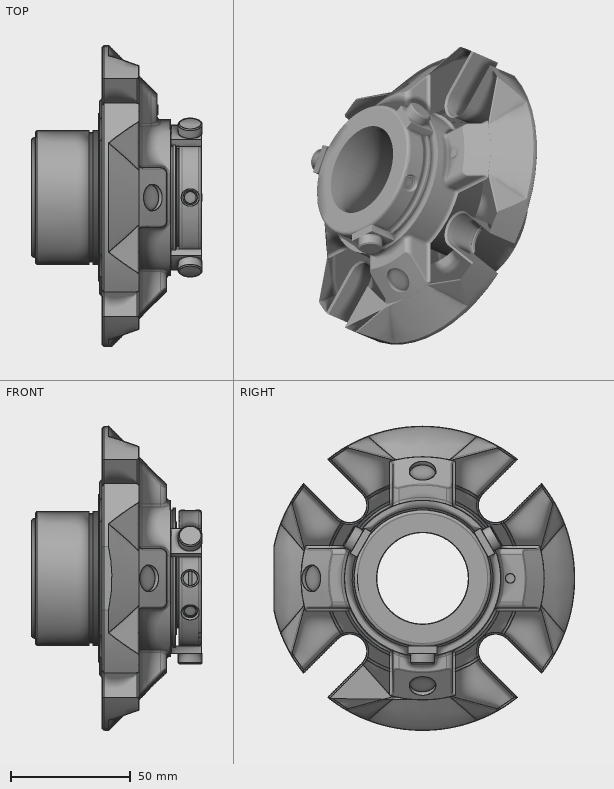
import cadquery as cq
import math


total_length = 71.0
bore_dia = 38.2
sleeve_dia = 41.2
nose_dia = 50.1
nose_length = 1.8
nose_rounding = 1.6
barrel_dia = 55.9
barrel_chamfer = 0.6
groove_dia = 54.0
groove_start = 24.1
groove_end = 25.7

pilot_dia = 69.8
pilot_start = 28.0
gasket_step_dia = 82.4
gasket_step_start = 28.4
gasket_step_chamfer_depth = 1.0
gasket_step_chamfer_width = 1.1

flange_dia = 126.8
flange_start = 29.5
flange_end = 44.9
flange_chamfer = 0.8
rim_end = 32.2
flat_distance = 62.0

slot_width = 14.3
slot_end_distance = 43.0
slot_angles = (45, 135, 225, 315)

lobe_corner_angle = 21.0
lobe_azimuth_tilt = 15.0
lobe_axial_tilt = 27.0
lobe_fillet = 0.6

boss_dia = 65.0
boss_end = 57.9
foot_fillet = 1.3
pad_width = 24.8
pad_end = 56.4
short_pad_end = 52.5
pad_corner_radius = 2.5
pad_edge_fillet = 0.6
pad_slope_drop = 0.06
port_dia = 11.0
port_depth = 2.2
port_angles = (90, 180, 270)
port_places = (50.7, 49.2, 50.7)
plug_dia = 3.9
plug_height = 0.4
plug_distance = 36.5

neck_dia = 57.0
disc_dia = 58.7
disc_start = 59.1
disc_end = 60.1
shoulder_dia = 46.9
shoulder_end = 60.6
collar_dia = 57.0
collar_start = 61.5
collar_fillet = 1.4

clip_angles = (30, 150, 270)
clip_start = 58.3
clip_width = 12.0
clip_inner_distance = 28.1
clip_outer_distance = 31.3
screw_x = 66.23
screw_head_dia = 10.0
screw_head_top = 35.6
screw_head_chamfer = 0.5

set_screw_angles = (90, 210, 330)
slotted_screw_angle = 180
set_mouth_dia = 7.6
set_seat_dia = 6.0
set_screw_recess = 1.0
set_socket_dia = 5.0
set_socket_depth = 0.6
driver_slot_width = 1.4

tolerance = 0.001

flange_radius = flange_dia / 2
flange_slope_sum = rim_end + flange_radius
pad_slope_sum = flange_slope_sum - pad_slope_drop


def cylinder(dia, x_start, x_end):
    """Round bar along the shaft axis."""
    return cq.Workplane("YZ", origin=(x_start, 0, 0)).circle(dia / 2).extrude(x_end - x_start)


def turned_outward(solid, angle):
    """Move a feature modelled on the +Y side to the given azimuth."""
    return solid.rotate((0, 0, 0), (1, 0, 0), angle)


def radial_cylinder(dia, x, inner, outer):
    """Round bar along +Y, between two distances from the shaft axis."""
    return cq.Workplane("XZ", origin=(x, inner, 0)).circle(dia / 2).extrude(inner - outer)


def cone_body(slope_sum, x_start, x_end):
    """Truncated 45 deg cone about the shaft axis."""
    outline = [
        (x_start, 0),
        (x_start, slope_sum - x_start),
        (x_end, slope_sum - x_end),
        (x_end, 0),
    ]
    cone = cq.Workplane("XY").polyline(outline).close().revolve(360, (0, 0, 0), (1, 0, 0))
    return turned_outward(cone, 45)


def radius_of(point):
    """Distance from the shaft axis."""
    return math.hypot(point.y, point.z)


def fillet_edges(body, radius, wanted):
    """Round the edges whose sample points all pass the given test."""
    edges = [
        edge
        for edge in body.edges().vals()
        if all(wanted(point) for point in edge.positions([0.1, 0.5, 0.9]))
    ]
    return body.newObject(edges).fillet(radius)


def at_foot(point):
    """True where the boss and pads meet each other or the flange rear face."""
    on_flange_face = abs(point.x - flange_end) < tolerance and radius_of(point) < flange_radius + foot_fillet * 2
    on_boss = abs(radius_of(point) - boss_dia / 2) < tolerance
    return on_flange_face or (on_boss and flange_end < point.x < boss_end - tolerance)


def on_pad_slope(point):
    """True on the 45 deg pad slopes behind the flange."""
    on_cone = abs(point.x + radius_of(point) - pad_slope_sum) < tolerance
    return on_cone and point.x > flange_end + tolerance / 10


def on_lobe_edge(point):
    """True where a sloped lobe wall meets the flange rear face."""
    cone_radius = flange_slope_sum - flange_end
    beyond_cone = cone_radius + tolerance < radius_of(point) < flange_radius - tolerance
    return abs(point.x - flange_end) < tolerance and beyond_cone


def above_lobe_plane(side):
    """Large block beyond the sloped lobe wall on one side (+1 or -1) of the +Y direction."""
    size = 3 * flange_dia
    corner_angle = math.radians(side * lobe_corner_angle)
    normal_angle = math.radians(-side * lobe_azimuth_tilt)
    tilt = math.radians(lobe_axial_tilt)
    corner = (rim_end, flange_radius * math.cos(corner_angle), flange_radius * math.sin(corner_angle))
    normal = (
        math.sin(tilt),
        math.cos(tilt) * math.cos(normal_angle),
        math.cos(tilt) * math.sin(normal_angle),
    )
    plane = cq.Plane(origin=corner, xDir=(0, -normal[2], normal[1]), normal=normal)
    return cq.Workplane(plane).rect(size, size).extrude(size)


def make_lobe_gap():
    """Material outside the 45 deg cone on the +Y side, between two lobes."""
    gap = above_lobe_plane(1).intersect(above_lobe_plane(-1))
    return gap.cut(cone_body(flange_slope_sum, 0, boss_end))


def make_slot():
    """Open slot along +Y with chamfered mouths on both flange faces."""
    def outline(x, width):
        length = flange_dia
        return (
            cq.Workplane("YZ", origin=(x, 0, 0))
            .center(slot_end_distance + length / 2, 0)
            .slot2D(length + width, width)
        )

    mouth_width = slot_width + 2 * flange_chamfer
    slot = outline(gasket_step_start - 1.3, slot_width).extrude(flange_end - gasket_step_start + 2.5)
    front = outline(flange_start, mouth_width).extrude(flange_chamfer, taper=45)
    back = outline(flange_end, mouth_width).extrude(-flange_chamfer, taper=45)
    return slot.union(front).union(back)


def make_pad_block(x_end):
    """Straight-sided port pad on the +Y side, before its slope is cut."""
    return (
        cq.Workplane("XY")
        .box(x_end - rim_end, flange_radius, pad_width, centered=(False, False, True))
        .translate((rim_end, 0, 0))
        .edges(">X and |Y")
        .fillet(pad_corner_radius)
    )


def make_gland():
    """Boss with four port pads, blended together, standing on the flange rear face."""
    base = cylinder(2 * flange_dia, rim_end, flange_end)
    boss = turned_outward(cylinder(boss_dia, rim_end, boss_end), 45)
    gland = base.union(boss).union(make_pad_block(short_pad_end))
    for angle in port_angles:
        gland = gland.union(turned_outward(make_pad_block(pad_end), angle))
    gland = fillet_edges(gland, foot_fillet, at_foot)
    gland = gland.intersect(cone_body(pad_slope_sum, flange_end, boss_end))
    return fillet_edges(gland, pad_edge_fillet, on_pad_slope)


def make_port(x):
    """Shallow round port, square to the 45 deg cone on the +Y side."""
    plane = cq.Plane(origin=(x, flange_slope_sum - x, 0), xDir=(0, 0, 1), normal=(1, 1, 0))
    return cq.Workplane(plane).circle(port_dia / 2).extrude(port_depth, both=True)


def make_flange():
    flat_cutter = cq.Workplane("XY", origin=(0, -flat_distance - flange_radius, 0)).box(
        flange_dia, flange_dia, flange_dia
    )
    flange = cylinder(flange_dia, flange_start, flange_end).cut(flat_cutter)
    flange = flange.faces("<X").chamfer(flange_chamfer)
    gap = make_lobe_gap()
    for angle in port_angles + (0,):
        flange = flange.cut(turned_outward(gap, angle))
    flange = fillet_edges(flange, lobe_fillet, on_lobe_edge)
    flange = flange.union(make_gland())
    for angle, x in zip(port_angles, port_places):
        flange = flange.cut(turned_outward(make_port(x), angle))
    gasket_step = (
        cylinder(gasket_step_dia, gasket_step_start, flange_start)
        .faces("<X")
        .edges()
        .chamfer(gasket_step_chamfer_depth, gasket_step_chamfer_width)
    )
    flange = flange.union(gasket_step)
    for angle in slot_angles:
        flange = flange.cut(turned_outward(make_slot(), angle))
    plug = cylinder(plug_dia, short_pad_end, short_pad_end + plug_height)
    return flange.union(plug.translate((0, plug_distance, 0)))


def make_barrel():
    nose = cylinder(nose_dia, 0, nose_length).faces("<X").edges().fillet(nose_rounding)
    barrel = cylinder(barrel_dia, nose_length, flange_start).faces("<X").edges().chamfer(barrel_chamfer)
    groove = cylinder(barrel_dia, groove_start, groove_end).cut(
        cylinder(groove_dia, groove_start, groove_end)
    )
    pilot = cylinder(pilot_dia, pilot_start, flange_start)
    return nose.union(barrel).cut(groove).union(pilot)


def make_collar():
    """Drive collar on the sleeve, with set screws sunk below its surface."""
    collar = cylinder(collar_dia, collar_start, total_length).edges().fillet(collar_fillet)
    radius = collar_dia / 2
    floor = radius - set_screw_recess
    seat = (
        cq.Workplane("XZ", origin=(screw_x, floor, 0))
        .circle(set_seat_dia / 2)
        .workplane(offset=-set_screw_recess)
        .circle(set_mouth_dia / 2)
        .loft()
        .union(radial_cylinder(set_mouth_dia, screw_x, radius, radius + 1.3))
    )
    socket = radial_cylinder(set_socket_dia, screw_x, floor - set_socket_depth, floor)
    for angle in set_screw_angles:
        collar = collar.cut(turned_outward(seat.union(socket), angle))
    slot = (
        cq.Workplane("XY", origin=(screw_x, floor, 0))
        .box(driver_slot_width, 2 * set_socket_depth, set_seat_dia)
        .intersect(radial_cylinder(set_seat_dia, screw_x, floor - set_socket_depth, radius))
    )
    return collar.cut(turned_outward(seat.union(slot), slotted_screw_angle))


def make_clip():
    """Setting clip plate with its cap screw, on the +Y side."""
    plate = (
        cq.Workplane("XY")
        .box(
            total_length - clip_start,
            clip_outer_distance - clip_inner_distance,
            clip_width,
            centered=(False, False, True),
        )
        .translate((clip_start, clip_inner_distance, 0))
    )
    head = radial_cylinder(screw_head_dia, screw_x, clip_outer_distance, screw_head_top)
    return plate.union(head.faces(">Y").edges().chamfer(screw_head_chamfer))


result = make_flange().union(make_barrel())
result = result.union(cylinder(neck_dia, flange_end, disc_start))
result = result.union(cylinder(disc_dia, disc_start, disc_end))
result = result.union(cylinder(sleeve_dia, flange_end, total_length))
result = result.union(cylinder(shoulder_dia, flange_end, shoulder_end))
result = result.union(make_collar())
for clip_angle in clip_angles:
    result = result.union(turned_outward(make_clip(), clip_angle))
result = result.cut(cylinder(bore_dia, 0, total_length))